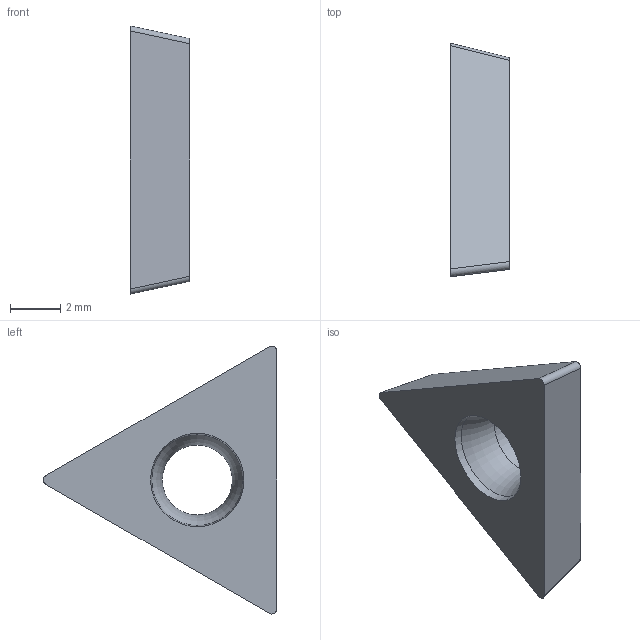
import cadquery as cq
import math

inscribed_diameter = 6.35
thickness = 2.38
clearance_angle = 7.0
nose_radius = 0.2
corner_count = 3

bore_diameter = 2.8
entry_diameter = 3.73
seat_diameter = 3.64
seat_start = 0.31
bore_start = 1.78


def make_body():
    """Triangular plate with clearance flanks and rounded corner edges."""
    circumscribed_diameter = inscribed_diameter / math.cos(math.pi / corner_count)
    return (
        cq.Workplane("YZ")
        .polygon(corner_count, circumscribed_diameter)
        .extrude(thickness, taper=clearance_angle)
        .edges("not(<X or >X)")
        .fillet(nose_radius)
    )


def make_hole():
    """Revolved cutter whose seat arc runs tangent into the straight bore."""
    bore_radius = bore_diameter / 2
    seat_radius = seat_diameter / 2
    seat_depth = bore_start - seat_start
    seat_rise = seat_radius - bore_radius

    arc_radius = (seat_depth**2 + seat_rise**2) / (2 * seat_rise)
    half_sweep = math.asin(seat_depth / arc_radius) / 2
    arc_middle = (
        bore_start - arc_radius * math.sin(half_sweep),
        bore_radius + arc_radius * (1 - math.cos(half_sweep)),
    )
    return (
        cq.Workplane("XY")
        .moveTo(0, 0)
        .lineTo(0, entry_diameter / 2)
        .lineTo(seat_start, seat_radius)
        .threePointArc(arc_middle, (bore_start, bore_radius))
        .lineTo(thickness, bore_radius)
        .lineTo(thickness, 0)
        .close()
        .revolve(360, (0, 0, 0), (1, 0, 0))
    )


result = make_body().cut(make_hole())